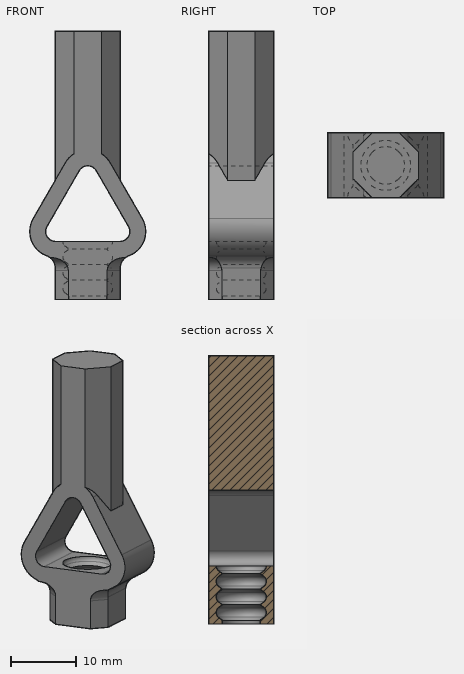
import cadquery as cq
import math

total_height = 41.05
width = 10.0
half_width = width / 2

corner_offset = 4.93
eye_floor = 8.9
eye_width = 17.8
frame_thickness = 2.45
outer_radius = eye_width / 2 - corner_offset
inner_radius = outer_radius - frame_thickness
corner_height = eye_floor + inner_radius
apex_height = corner_height + corner_offset * math.sqrt(3)

foot_chamfer = 2.0
foot_fillet = 2.0

crest_radius = 2.87
root_radius = 3.8
root_arc_radius = 1.0
groove_count = 4
groove_pitch = 2.4
groove_reach = groove_pitch / 2
flank_angle = math.radians(45)

shaft_sides = 8


def rounded_triangle(radius):
    """Equilateral triangle grown outwards by a corner radius, as a prism along Y."""
    centres = [(-corner_offset, corner_height), (corner_offset, corner_height), (0, apex_height)]
    triangle = cq.Workplane("XZ").polyline(centres).close()
    return triangle.offset2D(radius).extrude(half_width, both=True)


def make_shaft():
    """Octagonal shaft, rooted inside the frame of the eye, with flats facing X and Y."""
    octagon_diameter = width / math.cos(math.pi / shaft_sides)
    shaft = cq.Workplane("XY").workplane(offset=corner_height)
    octagon = shaft.polygon(shaft_sides, octagon_diameter).extrude(total_height - corner_height)
    return octagon.rotate((0, 0, 0), (0, 0, 1), 180 / shaft_sides)


def flared_prism(half_span, arc_start, touch, half_length):
    """Straight-sided block whose two sides curve out to a touching point at the top."""
    touch_x, touch_z = touch
    arc_x = half_span + foot_fillet
    end_angle = math.atan2(touch_z - arc_start, touch_x - arc_x)
    middle_angle = (math.pi + end_angle) / 2
    middle_x = arc_x + foot_fillet * math.cos(middle_angle)
    middle_z = arc_start + foot_fillet * math.sin(middle_angle)
    profile = (
        cq.Workplane("XZ")
        .moveTo(-half_span, 0)
        .lineTo(half_span, 0)
        .lineTo(half_span, arc_start)
        .threePointArc((middle_x, middle_z), (touch_x, touch_z))
        .lineTo(corner_offset, eye_floor)
        .lineTo(-corner_offset, eye_floor)
        .lineTo(-touch_x, touch_z)
        .threePointArc((-middle_x, middle_z), (-half_span, arc_start))
        .close()
    )
    return profile.extrude(half_length, both=True)


def make_foot():
    """Square foot with chamfered edges, flaring out in tangent arcs under the eye."""
    side_arc_x = half_width + foot_fillet
    reach = outer_radius + foot_fillet
    across = side_arc_x - corner_offset
    side_arc_z = corner_height - math.sqrt(reach**2 - across**2)
    touch_x = corner_offset + across * outer_radius / reach
    touch_z = corner_height - (corner_height - side_arc_z) * outer_radius / reach
    foot = flared_prism(half_width, side_arc_z, (touch_x, touch_z), half_width)

    chamfer_distance = (width - foot_chamfer) / math.sqrt(2)
    underside = corner_height - outer_radius
    chamfer_touch = (chamfer_distance + foot_fillet, underside)
    for angle in (45, -45):
        flare = flared_prism(chamfer_distance, underside - foot_fillet, chamfer_touch, width)
        cap = cq.Workplane("XY").workplane(offset=underside).rect(2 * width, 2 * width).extrude(width)
        foot = foot.intersect(flare.union(cap).rotate((0, 0, 0), (0, 0, 1), angle))
    return foot


def groove(middle):
    """Ring with a rounded root and sloping flanks, centred at one height."""
    tangent_radius = root_radius - root_arc_radius * (1 - math.cos(flank_angle))
    tangent_rise = root_arc_radius * math.sin(flank_angle)
    profile = (
        cq.Workplane("XZ")
        .moveTo(0, middle - groove_reach)
        .lineTo(crest_radius, middle - groove_reach)
        .lineTo(tangent_radius, middle - tangent_rise)
        .threePointArc((root_radius, middle), (tangent_radius, middle + tangent_rise))
        .lineTo(crest_radius, middle + groove_reach)
        .lineTo(0, middle + groove_reach)
        .close()
    )
    return profile.revolve(360, (0, 0, 0), (0, 1, 0))


body = rounded_triangle(outer_radius).union(make_foot())
body = body.union(make_shaft())
body = body.cut(rounded_triangle(inner_radius))
body = body.cut(cq.Workplane("XY").circle(crest_radius).extrude(eye_floor))
for index in range(groove_count):
    body = body.cut(groove(eye_floor - index * groove_pitch))
result = body